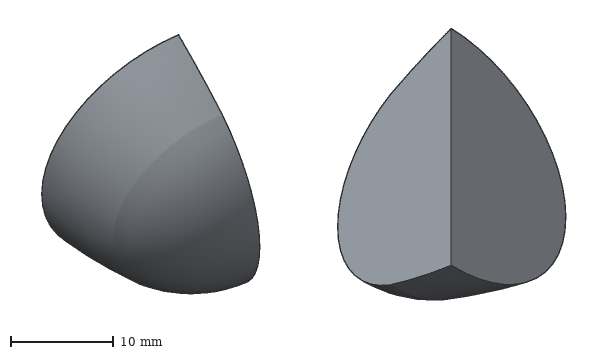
import cadquery as cq
import math

base_radius = 15.37
seam_radius = 12.33
seam_x = 8.8
length = 16.32

nose_depth = length - seam_x
nose_radius = (seam_radius**2 + nose_depth**2) / (2 * nose_depth)
nose_center_x = length - nose_radius
nose_mid_angle = math.atan2(seam_radius, seam_x - nose_center_x) / 2
nose_mid = (
    nose_center_x + nose_radius * math.cos(nose_mid_angle),
    nose_radius * math.sin(nose_mid_angle),
)

skirt_bulge = 0.18
skirt_mid = (seam_x / 2, (base_radius + seam_radius) / 2 + skirt_bulge)

profile = (
    cq.Workplane("XY")
    .lineTo(0, base_radius)
    .threePointArc(skirt_mid, (seam_x, seam_radius))
    .threePointArc(nose_mid, (length, 0))
    .close()
)

half_turn = 180
result = profile.revolve(half_turn, (0, 0, 0), (1, 0, 0)).rotate((0, 0, 0), (1, 0, 0), 90)